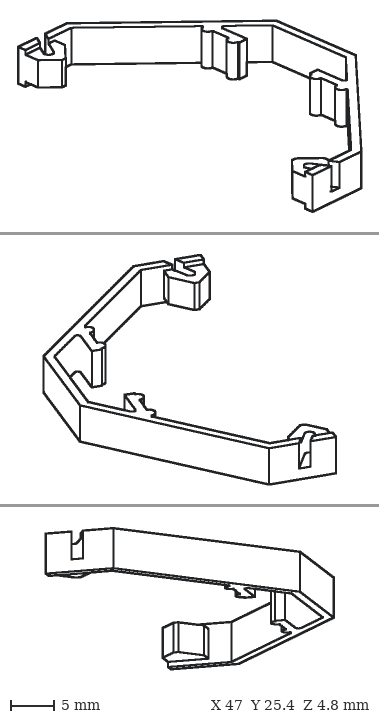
import cadquery as cq
import math

length = 47.0
depth = 25.4
height = 4.8
wall = 1.18
half_length = length / 2

crown_half = 6.35
leg_height = depth - (half_length - crown_half)
bend_inset = wall * math.tan(math.radians(22.5))

shelf_top = 19.7
shelf_bottom = 18.42
shelf_end = 5.65
bead_radius = 0.75
bead_positions = (6.65, 10.65)
root_fillet = 0.38

hook_reach = 5.15
hook_top = 4.95
hook_tip_low = 1.97
hook_tip_high = 2.6
hook_step = 0.6

slot_width = 1.2
slot_depth = 3.35
slot_angle = 30.0
slot_entry_y = 3.85
slot_end_inset = 2.73


def strip():
    """Bent strip of constant wall thickness."""
    inner_side = half_length - wall
    right_side = [
        (crown_half, depth),
        (half_length, leg_height),
        (half_length, 0),
        (inner_side, 0),
        (inner_side, leg_height - bend_inset),
        (crown_half - bend_inset, depth - wall),
    ]
    left_side = [(-x, y) for x, y in reversed(right_side)]
    return cq.Workplane("XY").polyline(right_side + left_side).close().extrude(height)


def shelf():
    """Left shelf, running into the middle of the shoulder wall."""
    shoulder_sum = crown_half + depth - wall / math.sqrt(2)
    outline = [
        (-shelf_end, shelf_bottom),
        (-shelf_end, shelf_top),
        (shelf_top - shoulder_sum, shelf_top),
        (shelf_bottom - shoulder_sum, shelf_bottom),
    ]
    body = cq.Workplane("XY").polyline(outline).close().extrude(height)
    bead_centers = [(-x, shelf_bottom) for x in bead_positions]
    beads = cq.Workplane("XY").pushPoints(bead_centers).circle(bead_radius).extrude(height)
    return body.union(beads)


def hook():
    """Left hook, pointing inward with 45 degree flanks."""
    tip_x = hook_reach - half_length
    outline = [
        (-half_length, 0),
        (tip_x - hook_tip_low, 0),
        (tip_x, hook_tip_low),
        (tip_x, hook_tip_high),
        (tip_x - (hook_top - hook_tip_high), hook_top),
        (-half_length, hook_top),
    ]
    base = cq.Workplane("XY").workplane(offset=hook_step)
    return base.polyline(outline).close().extrude(height - 2 * hook_step)


def slot():
    """Round-ended cutter for the left slot, long enough to open through the leg."""
    run = slot_end_inset / math.cos(math.radians(slot_angle))
    cutter_length = 2 * run
    return (
        cq.Workplane("XY", origin=(-half_length, slot_entry_y, height - slot_depth))
        .slot2D(cutter_length + slot_width, slot_width, -slot_angle)
        .extrude(slot_depth)
    )


def both_sides(left):
    return left.union(left.mirror("YZ"))


result = strip().union(both_sides(shelf()))

root_x = crown_half - bend_inset + (depth - wall - shelf_top)
for side in (-1, 1):
    corner = cq.selectors.NearestToPointSelector((side * root_x, shelf_top, height / 2))
    result = result.edges("|Z").edges(corner).fillet(root_fillet)

result = result.union(both_sides(hook())).cut(both_sides(slot()))